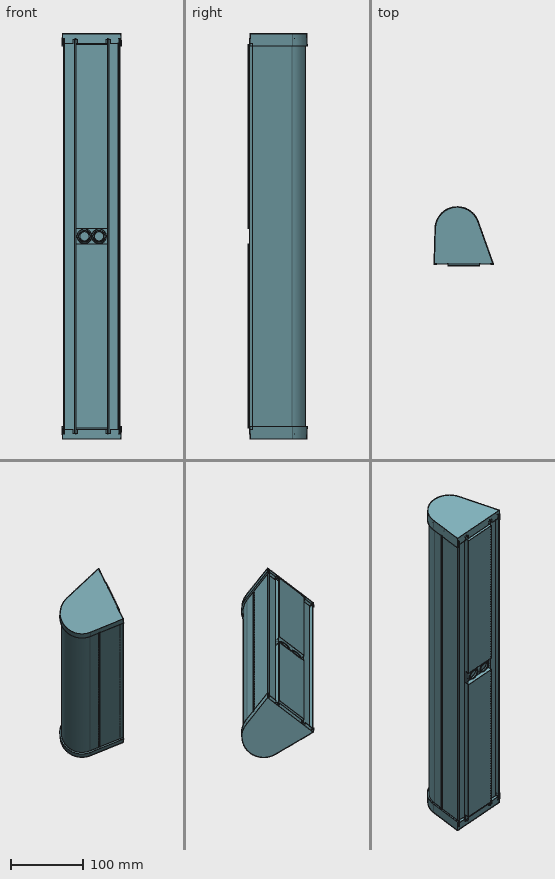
import cadquery as cq
import math


height = 561.0
width = 82.5
depth = 82.0
grille_front = -depth / 2

back_radius = 31.0
back_center_x = -9.0
back_center_y = depth / 2 - back_radius
cap_front = -38.5

cap_wall = 2.0
cap_side_height = 17.5
cap_front_height = 13.5
cap_roof = 7.0
cap_draft = 2.0
notch_height = 5.5
notch_clearance = 2.0

housing_front = -39.0
strip_depth = 4.5
lip_thickness = 1.0
groove_y = -3.5
groove_width = 1.5
groove_depth = 1.0

grille_half_width = 22.0
grille_thickness = 8.5
grille_end_gap = 15.0
ridge_width = 1.5

panel_height = 22.0
panel_front = -35.5
connector_pitch = 20.0
connector_base_diameter = 20.0
connector_rim_diameter = 16.0
connector_hollow_diameter = 13.0
connector_height = 3.5
connector_hollow_depth = 3.0

half_height = height / 2
skirt_z = half_height - cap_side_height
cap_front_z = half_height - cap_front_height
housing_half_height = half_height - cap_roof
housing_half_width = width / 2 - cap_wall
housing_radius = back_radius - cap_wall
notch_width = ridge_width + 2 * notch_clearance
strip_y = housing_front + strip_depth
grille_back = grille_front + grille_thickness
connector_x = [-connector_pitch / 2, connector_pitch / 2]
grille_outer_z = half_height - grille_end_gap
back_center = cq.Vector(back_center_x, back_center_y)


def tangent_point(corner, radius, side):
    """Point where the line from a front corner touches the round back: side -1 left, +1 right."""
    to_center = back_center - corner
    heading = math.atan2(to_center.y, to_center.x) - side * math.asin(radius / to_center.Length)
    reach = math.sqrt(to_center.Length**2 - radius**2)
    return corner + cq.Vector(math.cos(heading), math.sin(heading)) * reach


def column_outline(z, half_width, front, radius):
    """Closed plan outline with a straight front, two flat sides and a round back."""
    left = cq.Vector(-half_width, front)
    right = cq.Vector(half_width, front)
    return (
        cq.Workplane("XY", origin=(0, 0, z))
        .moveTo(left.x, left.y)
        .lineTo(right.x, right.y)
        .lineTo(*tangent_point(right, radius, 1).toTuple()[:2])
        .threePointArc(
            (back_center.x, back_center.y + radius),
            tangent_point(left, radius, -1).toTuple()[:2],
        )
        .close()
    )


def box_between(x_min, x_max, y_min, y_max, z_min, z_max):
    """Box given by its limits."""
    return cq.Workplane("XY").box(
        x_max - x_min, y_max - y_min, z_max - z_min, centered=False
    ).translate((x_min, y_min, z_min))


def make_housing():
    body = column_outline(
        -housing_half_height, housing_half_width, housing_front, housing_radius
    ).extrude(2 * housing_half_height)

    ridge_x = grille_half_width + ridge_width
    for side in (-1, 1):
        corner = cq.Vector(side * housing_half_width, housing_front)
        wall = tangent_point(corner, housing_radius, side) - corner
        lean = strip_depth * wall.x / wall.y
        lip_x = side * (housing_half_width - lip_thickness)
        strip_channel = (
            cq.Workplane("XY", origin=(0, 0, -half_height))
            .moveTo(lip_x, housing_front)
            .lineTo(lip_x + lean, strip_y)
            .lineTo(side * ridge_x, strip_y)
            .lineTo(side * grille_half_width, housing_front)
            .close()
            .extrude(height)
        )
        body = body.cut(strip_channel)

    body = body.cut(
        box_between(
            -grille_half_width, grille_half_width, housing_front, grille_back, -half_height, half_height
        )
    )

    wall_corner = cq.Vector(-housing_half_width, housing_front)
    wall_top = tangent_point(wall_corner, housing_radius, -1)
    wall_share = (groove_y - wall_corner.y) / (wall_top.y - wall_corner.y)
    wall_x = wall_corner.x + wall_share * (wall_top.x - wall_corner.x)
    groove = box_between(
        -width / 2,
        wall_x + groove_depth,
        groove_y - groove_width / 2,
        groove_y + groove_width / 2,
        -half_height,
        half_height,
    )
    return body.cut(groove)


def make_cap(side, housing):
    """Drafted cap over one end of the housing, side +1 top and -1 bottom."""
    cap = column_outline(0, width / 2, cap_front, back_radius).extrude(
        side * cap_side_height, taper=cap_draft
    )
    cap = cap.translate((0, 0, side * skirt_z))

    front_relief = box_between(
        -housing_half_width, housing_half_width, grille_front, strip_y, -cap_front_z, cap_front_z
    )
    grille_relief = box_between(
        -grille_half_width, grille_half_width, grille_front, grille_back, -cap_front_z, cap_front_z
    )
    cap = cap.cut(front_relief).cut(grille_relief)

    notch_z = cap_front_z + notch_height
    for ridge_side in (-1, 1):
        notch = box_between(-notch_width / 2, notch_width / 2, grille_front, strip_y, -notch_z, notch_z)
        cap = cap.cut(notch.translate((ridge_side * (grille_half_width + ridge_width / 2), 0, 0)))
    return cap.cut(housing)


def make_grille(z_min, z_max):
    return box_between(-grille_half_width, grille_half_width, grille_front, grille_back, z_min, z_max)


def make_panel():
    return box_between(
        -grille_half_width, grille_half_width, panel_front, grille_back, -panel_height / 2, panel_height / 2
    )


def make_connector(x):
    """Conical socket standing on the panel, with a round hollow in its face."""
    socket = (
        cq.Workplane("XZ", origin=(x, panel_front, 0))
        .circle(connector_base_diameter / 2)
        .workplane(offset=connector_height)
        .circle(connector_rim_diameter / 2)
        .loft()
    )
    return socket.faces("<Y").workplane().hole(connector_hollow_diameter, connector_hollow_depth)


housing = make_housing()
caps = [make_cap(side, housing) for side in (1, -1)]
grilles = [
    make_grille(panel_height / 2, grille_outer_z),
    make_grille(-grille_outer_z, -panel_height / 2),
]
panel = make_panel()
connectors = [make_connector(x) for x in connector_x]

bodies = [housing, *caps, *grilles, panel, *connectors]
result = cq.Compound.makeCompound([body.solids().val() for body in bodies])